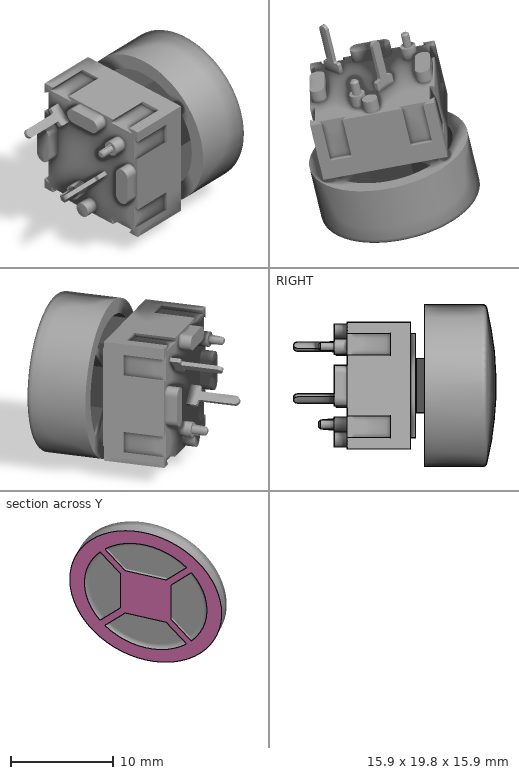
import cadquery as cq


overall_length = 19.83
terminal_reach = 5.25
housing_depth = 6.2
collar_depth = 0.5
stem_gap = 0.05
cap_rim_y = 7.55
cap_apex_y = overall_length - terminal_reach
collar_top_y = housing_depth + collar_depth

housing_width = 12.43
collar_width = 10.23
recess_offset = 4.03
recess_mouth = 2.12
recess_floor = 2.75
recess_depth = 0.5
recess_length = 4.25

cap_diameter = 15.88
dome_radius = 32.12
cap_edge_fillet = 0.5
cavity_diameter = 12.85
cavity_floor_fillet = 0.5
cavity_depth = 4.56
stem_width = 5.33
neck_width = 3.97
rib_thickness = 0.75

foot_diameter = 1.5
foot_height = 1.29
foot_length = 4.0
foot_offset = 5.27

grid = 1.27
blade_thickness = 0.42
blade_width = 0.91
shoulder_width = 2.1
shoulder_height = 1.11
shoulder_fillet = 0.2
root_fillet = 0.15
small_pin_diameter = 0.8
small_pin_chamfer = 0.14
large_pin_diameter = 0.9
large_pin_chamfer = 0.2
pin_straight_length = 2.6
crush_rib_width = 0.12
crush_rib_reach = 0.12


def face_plane(y):
    """Workplane at height y whose local axes are X and Z and whose normal is -Y."""
    return cq.Workplane("XZ", origin=(0, y, 0))


def square_block(width, y_start, y_end):
    return face_plane(y_end).rect(width, width).extrude(y_end - y_start)


def make_housing():
    """Square housing with two dovetail recesses in each side and a raised collar."""
    housing = square_block(housing_width, 0, housing_depth)
    side = housing_width / 2
    for turn_angle in (0, 90, 180, 270):
        for offset in (-recess_offset, recess_offset):
            recess = (
                face_plane(recess_length)
                .polyline([
                    (offset - recess_mouth / 2, side),
                    (offset + recess_mouth / 2, side),
                    (offset + recess_floor / 2, side - recess_depth),
                    (offset - recess_floor / 2, side - recess_depth),
                ])
                .close()
                .extrude(recess_length)
                .rotate((0, 0, 0), (0, 1, 0), turn_angle)
            )
            housing = housing.cut(recess)
    return housing.union(square_block(collar_width, housing_depth, collar_top_y))


def make_cap():
    """Domed cap with a round cavity, a square stem and four diagonal ribs inside."""
    dome = cq.Workplane("XY").sphere(dome_radius).translate((0, cap_apex_y - dome_radius, 0))
    shell = (
        face_plane(cap_apex_y)
        .circle(cap_diameter / 2)
        .extrude(cap_apex_y - cap_rim_y)
        .intersect(dome)
        .edges(">Y")
        .fillet(cap_edge_fillet)
    )
    floor_y = cap_rim_y + cavity_depth
    cavity = (
        face_plane(floor_y)
        .circle(cavity_diameter / 2)
        .extrude(cavity_depth)
        .faces(">Y")
        .edges()
        .fillet(cavity_floor_fillet)
    )
    shell = shell.cut(cavity)
    for angle in (45, 135):
        rib = (
            face_plane(floor_y)
            .transformed(rotate=(0, 0, angle))
            .rect(cavity_diameter, rib_thickness)
            .extrude(cavity_depth)
            .intersect(cavity)
        )
        shell = shell.union(rib)
    stem = square_block(stem_width, collar_top_y + stem_gap, floor_y)
    neck = square_block(neck_width, collar_top_y, floor_y)
    return shell.union(stem).union(neck)


def make_feet():
    """Three long feet on the top, left and right, and a round one at the bottom."""
    feet = (
        face_plane(0)
        .center(0, foot_offset)
        .slot2D(foot_length, foot_diameter)
        .extrude(foot_height)
    )
    sides = (
        face_plane(0)
        .pushPoints([(-foot_offset, 0), (foot_offset, 0)])
        .slot2D(foot_length, foot_diameter, 90)
        .extrude(foot_height)
    )
    bottom = face_plane(0).center(0, -foot_offset).circle(foot_diameter / 2).extrude(foot_height)
    return feet.union(sides).union(bottom)


def make_blade(x, z, angle):
    """Flat terminal with a round-cornered shoulder and a fully rounded tip."""
    half_blade = blade_width / 2
    half_shoulder = shoulder_width / 2
    tip_start_y = half_blade - terminal_reach
    blade = (
        cq.Workplane("XY")
        .moveTo(-half_shoulder, 0)
        .lineTo(-half_shoulder, shoulder_fillet - shoulder_height)
        .radiusArc((shoulder_fillet - half_shoulder, -shoulder_height), -shoulder_fillet)
        .lineTo(-half_blade - root_fillet, -shoulder_height)
        .radiusArc((-half_blade, -shoulder_height - root_fillet), root_fillet)
        .lineTo(-half_blade, tip_start_y)
        .threePointArc((0, -terminal_reach), (half_blade, tip_start_y))
        .lineTo(half_blade, -shoulder_height - root_fillet)
        .radiusArc((half_blade + root_fillet, -shoulder_height), root_fillet)
        .lineTo(half_shoulder - shoulder_fillet, -shoulder_height)
        .radiusArc((half_shoulder, shoulder_fillet - shoulder_height), -shoulder_fillet)
        .lineTo(half_shoulder, 0)
        .close()
        .extrude(blade_thickness / 2, both=True)
    )
    return blade.rotate((0, 0, 0), (0, 1, 0), angle).translate((x, 0, z))


def make_locating_pin(x, z, diameter, chamfer):
    """Round boss carrying a chamfered pin that has two tapering crush ribs."""
    radius = diameter / 2
    boss = face_plane(0).circle(foot_diameter / 2).extrude(foot_height)
    pin = (
        face_plane(0)
        .circle(radius)
        .extrude(pin_straight_length + chamfer)
        .faces("<Y")
        .chamfer(chamfer)
    )
    crush_reach = radius + crush_rib_reach
    crush_ribs = (
        cq.Workplane("YZ")
        .polyline([
            (-foot_height, -crush_reach),
            (-foot_height, crush_reach),
            (-pin_straight_length, radius),
            (-pin_straight_length, -radius),
        ])
        .close()
        .extrude(crush_rib_width / 2, both=True)
    )
    return boss.union(pin).union(crush_ribs).translate((x, 0, z))


result = (
    make_housing()
    .union(make_cap())
    .union(make_feet())
    .union(make_blade(-3 * grid, 3 * grid, 45))
    .union(make_blade(grid, -grid, -45))
    .union(make_locating_pin(3 * grid, 3 * grid, small_pin_diameter, small_pin_chamfer))
    .union(make_locating_pin(-grid, -3 * grid, large_pin_diameter, large_pin_chamfer))
)